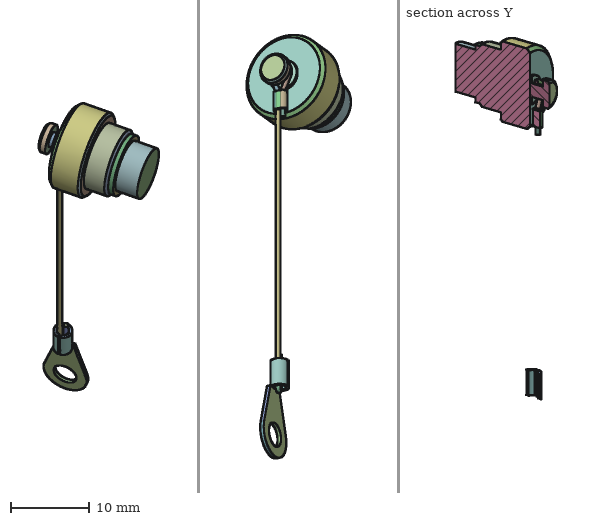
import cadquery as cq
import math

OVERALL_HEIGHT = 58.75

CAP_DIAMETER = 11.5
CAP_START_X = 3.5
CAP_END_X = 8.1
CAP_FRONT_CHAMFER = 0.5
CAP_REAR_CHAMFER = 0.3
BODY_DIAMETER = 9.0
BODY_END_X = 11.35
COLLAR_DIAMETER = 8.2
COLLAR_END_X = 12.05
NOSE_DIAMETER = 6.9
NOSE_END_X = 15.1
BODY_CHAMFER = (BODY_DIAMETER - COLLAR_DIAMETER) / 2

RIVET_DIAMETER = 4.0
RIVET_HEAD_START_X = 0.5
RIVET_HEAD_END_X = 1.6
RIVET_HEAD_CHAMFER = 0.3
NECK_DIAMETER = 2.0
FOOT_START_X = 3.25

CABLE_DIAMETER = 0.65
CABLE_X = 2.6
CABLE_Y = 0.35
LOOP_RADIUS = (NECK_DIAMETER + CABLE_DIAMETER) / 2
UPPER_TAIL_Z = -6.15
LOWER_TAIL_X = 3.35
LOWER_TAIL_Y = 0.6
LOWER_TAIL_Z = -38.9

SLEEVE_THICKNESS = 1.2
SLEEVE_WIDTH = SLEEVE_THICKNESS + 2 * CABLE_Y
SLEEVE_TOP_Z = -2.65
SLEEVE_BOTTOM_Z = -5.1
LEG_SPREAD_Z = SLEEVE_TOP_Z + 0.2

EYE_DIAMETER = 6.05
EYE_HOLE_DIAMETER = 3.2
LUG_THICKNESS = 0.5
LUG_X = EYE_DIAMETER / 2
EYE_Z = CAP_DIAMETER / 2 - OVERALL_HEIGHT + EYE_DIAMETER / 2
BARREL_DIAMETER = 2.4
BARREL_BORE = 1.6
BARREL_Y = 0.35
BARREL_TOP_Z = -39.95
BARREL_BOTTOM_Z = -43.55
BARREL_SLOT_WIDTH = 0.3
LUG_BACK_Y = BARREL_Y + BARREL_DIAMETER / 2


def disc(diameter, start_x, end_x):
    """Cylinder about the X axis."""
    return cq.Workplane("YZ").workplane(offset=start_x).circle(diameter / 2).extrude(end_x - start_x)


def make_cap():
    rim = disc(CAP_DIAMETER, CAP_START_X, CAP_END_X)
    rim = rim.faces("<X").chamfer(CAP_FRONT_CHAMFER).faces(">X").chamfer(CAP_REAR_CHAMFER)
    body = disc(BODY_DIAMETER, CAP_END_X, BODY_END_X).faces(">X").chamfer(BODY_CHAMFER)
    collar = disc(COLLAR_DIAMETER, BODY_END_X, COLLAR_END_X)
    nose = disc(NOSE_DIAMETER, COLLAR_END_X, NOSE_END_X)
    return rim.union(body).union(collar).union(nose)


def make_rivet():
    head = disc(RIVET_DIAMETER, RIVET_HEAD_START_X, RIVET_HEAD_END_X)
    head = head.faces("<X").chamfer(RIVET_HEAD_CHAMFER)
    neck = disc(NECK_DIAMETER, RIVET_HEAD_END_X, FOOT_START_X)
    foot = disc(RIVET_DIAMETER, FOOT_START_X, CAP_START_X)
    return head.union(neck).union(foot)


def make_cable():
    """One round wire: up through the lower bend, round the rivet neck and back into the sleeve."""
    spread_distance = math.hypot(CABLE_Y, LEG_SPREAD_Z)
    spread_angle = math.atan2(LEG_SPREAD_Z, CABLE_Y)
    tangent_angle = spread_angle + math.acos(LOOP_RADIUS / spread_distance)
    tangent_y = LOOP_RADIUS * math.cos(tangent_angle)
    tangent_z = LOOP_RADIUS * math.sin(tangent_angle)

    def point(y, z):
        return cq.Vector(CABLE_X, y, z)

    bend_start = point(CABLE_Y, BARREL_BOTTOM_Z)
    bend_end = cq.Vector(LOWER_TAIL_X, LOWER_TAIL_Y, BARREL_BOTTOM_Z)
    bend_radius = (bend_end - bend_start).Length / 2
    bend_bottom = (bend_start + bend_end) / 2 - cq.Vector(0, 0, bend_radius)
    tail_top = cq.Vector(LOWER_TAIL_X, LOWER_TAIL_Y, LOWER_TAIL_Z)

    loop_start = point(tangent_y, tangent_z)
    loop_end = point(-tangent_y, tangent_z)
    path = cq.Wire.assembleEdges([
        cq.Edge.makeLine(tail_top, bend_end),
        cq.Edge.makeThreePointArc(bend_end, bend_bottom, bend_start),
        cq.Edge.makeLine(bend_start, point(CABLE_Y, LEG_SPREAD_Z)),
        cq.Edge.makeLine(point(CABLE_Y, LEG_SPREAD_Z), loop_start),
        cq.Edge.makeThreePointArc(loop_start, point(0, LOOP_RADIUS), loop_end),
        cq.Edge.makeLine(loop_end, point(-CABLE_Y, LEG_SPREAD_Z)),
        cq.Edge.makeLine(point(-CABLE_Y, LEG_SPREAD_Z), point(-CABLE_Y, UPPER_TAIL_Z)),
    ])
    section = cq.Workplane("XY", origin=tail_top.toTuple()).circle(CABLE_DIAMETER / 2)
    return section.sweep(cq.Workplane(path), transition="right")


def make_sleeve():
    sleeve = (
        cq.Workplane("XY", origin=(CABLE_X, 0, SLEEVE_BOTTOM_Z))
        .slot2D(SLEEVE_WIDTH, SLEEVE_THICKNESS, 90)
        .extrude(SLEEVE_TOP_Z - SLEEVE_BOTTOM_Z)
    )
    bores = [(0, -CABLE_Y), (0, CABLE_Y)]
    return sleeve.faces(">Z").workplane(origin=(CABLE_X, 0, 0)).pushPoints(bores).hole(CABLE_DIAMETER)


def make_lug():
    barrel_length = BARREL_TOP_Z - BARREL_BOTTOM_Z
    neck_half_width = BARREL_DIAMETER / 2
    neck_height = BARREL_BOTTOM_Z - EYE_Z
    eye_radius = EYE_DIAMETER / 2
    neck_distance = math.hypot(neck_half_width, neck_height)
    tangent_angle = math.atan2(neck_height, neck_half_width) - math.acos(eye_radius / neck_distance)
    tangent_x = eye_radius * math.cos(tangent_angle)
    tangent_z = eye_radius * math.sin(tangent_angle)
    plate = (
        cq.Workplane("XZ", origin=(LUG_X, LUG_BACK_Y, EYE_Z))
        .moveTo(-neck_half_width, neck_height)
        .lineTo(neck_half_width, neck_height)
        .lineTo(tangent_x, tangent_z)
        .threePointArc((0, -eye_radius), (-tangent_x, tangent_z))
        .close()
        .moveTo(0, 0)
        .circle(EYE_HOLE_DIAMETER / 2)
        .extrude(LUG_THICKNESS)
    )
    barrel_base = cq.Workplane("XY", origin=(LUG_X, BARREL_Y, BARREL_BOTTOM_Z))
    barrel = barrel_base.circle(BARREL_DIAMETER / 2).circle(BARREL_BORE / 2).extrude(barrel_length)
    slot_depth = BARREL_DIAMETER / 2
    slot = (
        barrel_base.center(0, -slot_depth / 2)
        .rect(BARREL_SLOT_WIDTH, slot_depth)
        .extrude(barrel_length)
    )
    return plate.union(barrel.cut(slot))


cap = make_cap()
rivet = make_rivet()
cable = make_cable()
sleeve = make_sleeve()
lug = make_lug()

result = cq.Compound.makeCompound([cap.val(), rivet.val(), cable.val(), sleeve.val(), lug.val()])